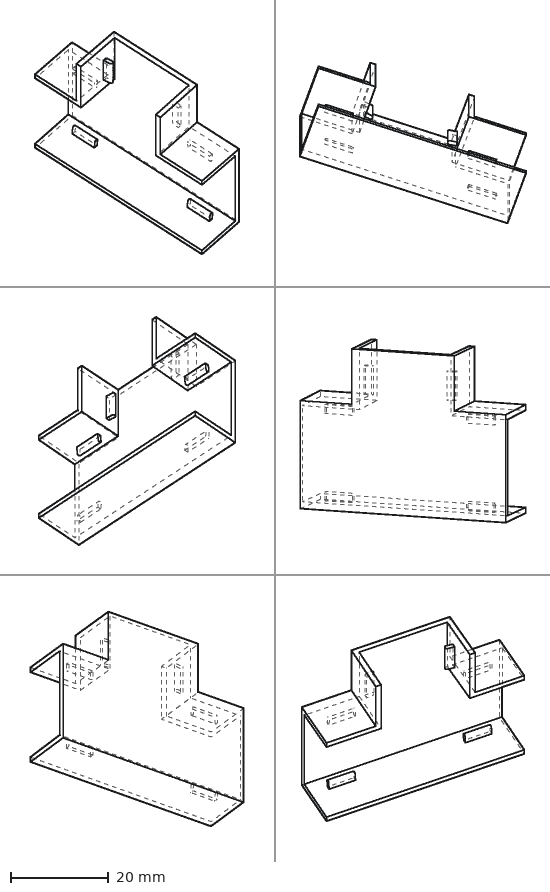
import cadquery as cq

LENGTH = 45.0
DEPTH = 11.7
HEIGHT = 34.0

INSIDE_BACK = 20.0
FLARE = 0.1
WALL = 1.2

RIB_LENGTH = 6.0
RIB_END_GAP = 4.0
RIB_HEIGHT = 1.87
RIB_THICKNESS = 0.85
RIB_TIP_RADIUS = 0.35
RIB_FROM_BACK = 4.25
RIB_TILT = 7.0
RIB_ROOT = 0.5

FLOOR_Y = DEPTH - WALL
INSIDE_FRONT = INSIDE_BACK + 2 * FLARE
CHANNEL_FRONT = INSIDE_FRONT + 2 * WALL
RUN_INSIDE_BOTTOM = WALL + FLARE
RUN_INSIDE_TOP = RUN_INSIDE_BOTTOM + INSIDE_BACK


def tee_outline(y, half_run, run_bottom, run_top, half_branch, branch_top):
    """Closed tee outline in the XZ plane at the given Y."""
    return cq.Workplane("XZ", origin=(0, y, 0)).polyline([
        (-half_run, run_bottom),
        (half_run, run_bottom),
        (half_run, run_top),
        (half_branch, run_top),
        (half_branch, branch_top),
        (-half_branch, branch_top),
        (-half_branch, run_top),
        (-half_run, run_top),
    ]).close()


def tee_loft(back, front):
    """Ruled solid between two tee outlines."""
    wires = [cq.Wire.assembleEdges(outline.wire().val().Edges()) for outline in (back, front)]
    return cq.Workplane(cq.Solid.makeLoft(wires, True))


def outer_body():
    half_front = CHANNEL_FRONT / 2
    back = tee_outline(
        DEPTH, LENGTH / 2, 0, CHANNEL_FRONT - FLARE, half_front - FLARE, HEIGHT
    )
    front = tee_outline(0, LENGTH / 2, 0, CHANNEL_FRONT, half_front, HEIGHT)
    return tee_loft(back, front)


def inner_cavity():
    """Tee-shaped hollow, open at the front and at all three channel mouths."""
    overrun = 1.0
    back = tee_outline(
        FLOOR_Y,
        LENGTH / 2 + overrun,
        RUN_INSIDE_BOTTOM,
        RUN_INSIDE_TOP,
        INSIDE_BACK / 2,
        HEIGHT + overrun,
    )
    front = tee_outline(
        0,
        LENGTH / 2 + overrun,
        RUN_INSIDE_BOTTOM - FLARE,
        RUN_INSIDE_TOP + FLARE,
        INSIDE_FRONT / 2,
        HEIGHT + overrun,
    )
    return tee_loft(back, front)


def rib():
    """Rib along X, centred on the origin, pointing up (+Z) from a wall at Z = 0."""
    return (
        cq.Workplane("XY", origin=(0, 0, -RIB_ROOT))
        .box(RIB_LENGTH, RIB_THICKNESS, RIB_ROOT + RIB_HEIGHT, centered=(True, True, False))
        .edges("|X and >Z")
        .fillet(RIB_TIP_RADIUS)
        .rotate((0, 0, 0), (1, 0, 0), -RIB_TILT)
    )


def place_rib(turn, x, z):
    """Turn a rib about Y by the given degrees and set its root at (x, z)."""
    return rib().rotate((0, 0, 0), (0, 1, 0), turn).translate((x, DEPTH - RIB_FROM_BACK, z))


result = outer_body().cut(inner_cavity())

run_rib_x = LENGTH / 2 - RIB_END_GAP - RIB_LENGTH / 2
branch_rib_z = HEIGHT - RIB_END_GAP - RIB_LENGTH / 2
for side in (-1, 1):
    result = result.union(place_rib(0, side * run_rib_x, RUN_INSIDE_BOTTOM))
    result = result.union(place_rib(180, side * run_rib_x, RUN_INSIDE_TOP))
    result = result.union(place_rib(-90 * side, side * INSIDE_BACK / 2, branch_rib_z))